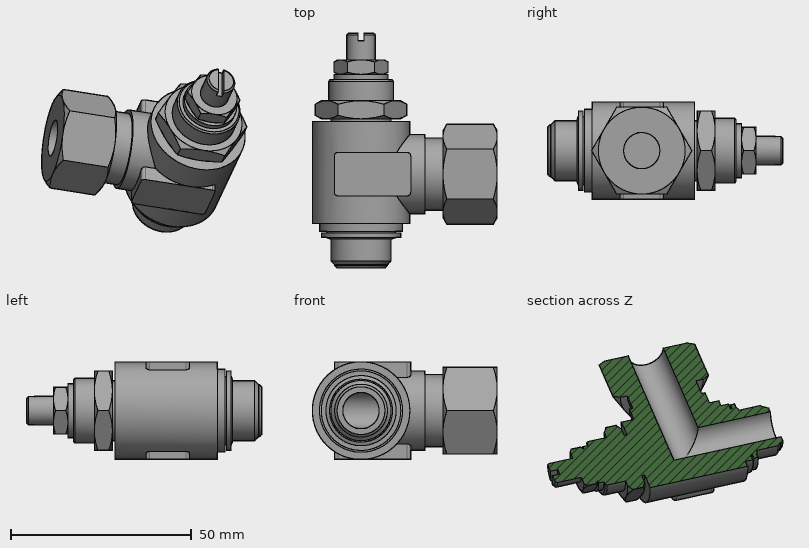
import cadquery as cq
import math


BODY_DIA = 27.0
BODY_TOP_Y = 14.6
BODY_BOTTOM_Y = -13.7

STEM_TOP_Y = 39.0
STEM_DIA = 8.0
STEM_CHAMFER = 0.5
STEM_SLOT_WIDTH = 1.6
STEM_SLOT_DEPTH = 2.1
NECK_DIA = 16.66
LOCK_NUT_FLATS = 22.0
LOCK_NUT_BOTTOM_Y = 15.3
LOCK_NUT_HEIGHT = 5.0
BONNET_DIA = 18.0
BONNET_TOP_Y = 26.1
BONNET_CHAMFER = 0.45
COLLAR_DIA = 15.0
STEM_NUT_FLATS = 13.0
STEM_NUT_BOTTOM_Y = 27.6
STEM_NUT_HEIGHT = 4.0

FLANGE_DIA = 23.0
FLANGE_BOTTOM_Y = -15.85
SEAL_GROOVE_DIA = 19.0
SEAL_DIA = 22.0
SEAL_TOP_Y = -16.2
SEAL_BOTTOM_Y = -17.5
SHOULDER_DIA = 19.4
SHOULDER_TIP_DIA = 17.4
SHOULDER_BOTTOM_Y = -17.9
THREAD_DIA = 16.66
THREAD_BOTTOM_Y = -24.0
TIP_DIA = 14.6
TIP_LAND = 0.25
TIP_FACE_DIA = 13.2
SCREW_END_Y = -26.0
BORE_DIA = 10.0

PORT_BOSS_DIA = 22.0
PORT_BOSS_END_X = 17.65
PORT_NECK_DIA = 20.0
PORT_NUT_FLATS = 24.0
PORT_NUT_LENGTH = 15.0
PORT_END_X = 37.65

PAD_LEFT_X = -7.4
PAD_RIGHT_X = 13.75
PAD_WIDTH = 12.0
PAD_CORNER_RADIUS = 1.0

NUT_CHAMFER_ANGLE = 30.0


def cylinder_y(diameter, start_y, end_y):
    """Cylinder on the Y axis between two Y positions."""
    plane = cq.Plane(origin=(0, start_y, 0), xDir=(1, 0, 0), normal=(0, 1, 0))
    return cq.Workplane(plane).circle(diameter / 2).extrude(end_y - start_y)


def cylinder_x(diameter, end_x):
    """Cylinder on the X axis from the origin to end_x."""
    return cq.Workplane("YZ").circle(diameter / 2).extrude(end_x)


def hex_nut(flats, length):
    """Solid hexagon along +Z, corners on local X, with both ends chamfered to the flats."""
    corner_radius = flats / math.sqrt(3)
    chamfer_radial = corner_radius - flats / 2
    chamfer_axial = chamfer_radial * math.tan(math.radians(NUT_CHAMFER_ANGLE))
    prism = cq.Workplane("XY").polygon(6, 2 * corner_radius).extrude(length)
    envelope = (
        cq.Workplane("XZ")
        .moveTo(0, 0)
        .lineTo(flats / 2, 0)
        .lineTo(corner_radius, chamfer_axial)
        .lineTo(corner_radius, length - chamfer_axial)
        .lineTo(flats / 2, length)
        .lineTo(0, length)
        .close()
        .revolve(360, (0, 0, 0), (0, 1, 0))
    )
    return prism.intersect(envelope)


def nut_on_y(flats, start_y, length):
    """Hex nut along +Y with flats facing +Z and -Z."""
    return hex_nut(flats, length).rotate((0, 0, 0), (1, 0, 0), -90).translate((0, start_y, 0))


def make_body():
    return cylinder_y(BODY_DIA, BODY_BOTTOM_Y, BODY_TOP_Y)


def make_spindle():
    """Neck, lock nut, bonnet, collar, stem nut and slotted stem."""
    neck = cylinder_y(NECK_DIA, BODY_TOP_Y, LOCK_NUT_BOTTOM_Y)
    lock_nut = nut_on_y(LOCK_NUT_FLATS, LOCK_NUT_BOTTOM_Y, LOCK_NUT_HEIGHT)
    bonnet_bottom_y = LOCK_NUT_BOTTOM_Y + LOCK_NUT_HEIGHT
    bonnet = cylinder_y(BONNET_DIA, bonnet_bottom_y, BONNET_TOP_Y).faces(">Y").chamfer(BONNET_CHAMFER)
    collar = cylinder_y(COLLAR_DIA, BONNET_TOP_Y, STEM_NUT_BOTTOM_Y)
    stem_nut = nut_on_y(STEM_NUT_FLATS, STEM_NUT_BOTTOM_Y, STEM_NUT_HEIGHT)
    stem_bottom_y = STEM_NUT_BOTTOM_Y + STEM_NUT_HEIGHT
    stem = cylinder_y(STEM_DIA, stem_bottom_y, STEM_TOP_Y).faces(">Y").chamfer(STEM_CHAMFER)
    slot = (
        cq.Workplane("XY")
        .box(STEM_SLOT_WIDTH, 2 * STEM_SLOT_DEPTH, STEM_DIA)
        .translate((0, STEM_TOP_Y, 0))
    )
    spindle = neck
    for piece in (lock_nut, bonnet, collar, stem_nut, stem.cut(slot)):
        spindle = spindle.union(piece)
    return spindle


def make_screw_end():
    """Flange, seal ring, shoulder and chamfered screw-in end as one revolved profile."""
    tip_top_y = THREAD_BOTTOM_Y - (THREAD_DIA - TIP_DIA) / 2
    outline = [
        (0, BODY_BOTTOM_Y),
        (FLANGE_DIA / 2, BODY_BOTTOM_Y),
        (FLANGE_DIA / 2, FLANGE_BOTTOM_Y),
        (SEAL_GROOVE_DIA / 2, FLANGE_BOTTOM_Y),
        (SEAL_GROOVE_DIA / 2, SEAL_TOP_Y),
        (SEAL_DIA / 2, SEAL_TOP_Y),
        (SEAL_DIA / 2, SEAL_BOTTOM_Y),
        (SHOULDER_DIA / 2, SEAL_BOTTOM_Y),
        (SHOULDER_TIP_DIA / 2, SHOULDER_BOTTOM_Y),
        (THREAD_DIA / 2, SHOULDER_BOTTOM_Y),
        (THREAD_DIA / 2, THREAD_BOTTOM_Y),
        (TIP_DIA / 2, tip_top_y),
        (TIP_DIA / 2, tip_top_y - TIP_LAND),
        (TIP_FACE_DIA / 2, SCREW_END_Y),
        (0, SCREW_END_Y),
    ]
    return cq.Workplane("XY").polyline(outline).close().revolve(360, (0, 0, 0), (0, 1, 0))


def make_port():
    """Boss, neck and union nut along +X; the nut has flats facing +Z and -Z."""
    nut_start_x = PORT_END_X - PORT_NUT_LENGTH
    boss = cylinder_x(PORT_BOSS_DIA, PORT_BOSS_END_X)
    neck = cylinder_x(PORT_NECK_DIA, nut_start_x)
    nut = (
        nut_on_y(PORT_NUT_FLATS, 0, PORT_NUT_LENGTH)
        .rotate((0, 0, 0), (0, 0, 1), -90)
        .translate((nut_start_x, 0, 0))
    )
    return boss.union(neck).union(nut)


def make_pads():
    """One bar through the body; its ends are the two flat pads."""
    pad_length = PAD_RIGHT_X - PAD_LEFT_X
    middle_x = (PAD_LEFT_X + PAD_RIGHT_X) / 2
    return (
        cq.Workplane("XY")
        .box(pad_length, PAD_WIDTH, BODY_DIA)
        .edges("|Z")
        .fillet(PAD_CORNER_RADIUS)
        .translate((middle_x, 0, 0))
    )


def make_flow_passage():
    """Bore from the screw-in end to the port axis, meeting a cross bore that opens at the port end."""
    main_bore = cylinder_y(BORE_DIA, SCREW_END_Y, 0)
    cross_bore = cylinder_x(BORE_DIA, PORT_END_X).union(cylinder_x(BORE_DIA, -BORE_DIA / 2))
    return main_bore.union(cross_bore)


result = (
    make_body()
    .union(make_spindle())
    .union(make_screw_end())
    .union(make_port())
    .union(make_pads())
    .cut(make_flow_passage())
)